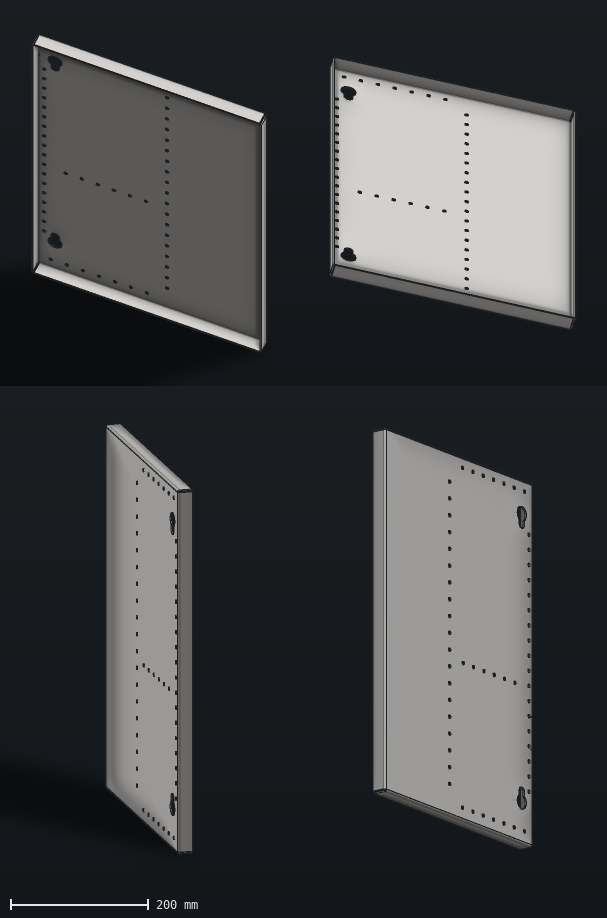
import cadquery as cq

WIDTH = 364.58
DEPTH = 22.3
HEIGHT = 550.13
THICKNESS = 2.4
INNER_BEND_RADIUS = 0.9
OUTER_BEND_RADIUS = THICKNESS + INNER_BEND_RADIUS
CORNER_CLEARANCE = 0.8
FLANGE_INSET = THICKNESS + CORNER_CLEARANCE

HOLE_DIAMETER = 5.0
PITCH = 25.4
EDGE_COLUMN_PITCH = 22.86
PATTERN_MID_Z = 1.3

END_ROW_COUNT = 7
END_ROW_START_X = -160.5
END_ROW_OFFSET_Z = 256.9

MIDDLE_ROW_COUNT = 6
MIDDLE_ROW_START_X = -136.8
MIDDLE_ROW_Z = -36.6

CENTRE_COLUMN_COUNT = 19
CENTRE_COLUMN_X = 23.6

EDGE_COLUMN_COUNT = 18
EDGE_COLUMN_X = -171.3

KEYHOLE_X = -153.8
KEYHOLE_MID_Z = 5.4
KEYHOLE_OFFSET_Z = 217.6
KEYHOLE_DIAMETER = 22.0
KEYHOLE_SLOT_WIDTH = 12.7
KEYHOLE_SLOT_REACH = 15.4


def folded_channel(span, length):
    """U-shaped channel with rounded bends: profile in XY, span along X, length centred along Z."""
    outer = (
        cq.Workplane("XY")
        .box(span, DEPTH, length)
        .edges("|Z and >Y")
        .fillet(OUTER_BEND_RADIUS)
    )
    inner = (
        cq.Workplane("XY")
        .box(span - 2 * THICKNESS, DEPTH, length)
        .edges("|Z and >Y")
        .fillet(INNER_BEND_RADIUS)
        .translate((0, -THICKNESS, 0))
    )
    return outer.cut(inner)


def folded_tray():
    """Panel with four flanges; each flange stops short of the corners, leaving them open."""
    side_flanges = folded_channel(WIDTH, HEIGHT - 2 * FLANGE_INSET)
    end_flanges = folded_channel(HEIGHT, WIDTH - 2 * FLANGE_INSET)
    end_flanges = end_flanges.rotate((0, 0, 0), (0, 1, 0), 90)
    return side_flanges.union(end_flanges)


def row(start_x, z, count):
    """Centres of a horizontal row of holes."""
    return [(start_x + i * PITCH, z) for i in range(count)]


def column(x, mid_z, pitch, count):
    """Centres of a vertical column of holes, spread evenly about mid_z."""
    return [(x, mid_z + (i - (count - 1) / 2) * pitch) for i in range(count)]


def through_panel(outline):
    """Extrude an XZ outline through the whole depth of the tray."""
    return outline.extrude(DEPTH, both=True)


def small_holes():
    """Cutters for every small hole of the rows and columns."""
    centres = (
        row(END_ROW_START_X, PATTERN_MID_Z + END_ROW_OFFSET_Z, END_ROW_COUNT)
        + row(END_ROW_START_X, PATTERN_MID_Z - END_ROW_OFFSET_Z, END_ROW_COUNT)
        + row(MIDDLE_ROW_START_X, MIDDLE_ROW_Z, MIDDLE_ROW_COUNT)
        + column(CENTRE_COLUMN_X, PATTERN_MID_Z, PITCH, CENTRE_COLUMN_COUNT)
        + column(EDGE_COLUMN_X, PATTERN_MID_Z, EDGE_COLUMN_PITCH, EDGE_COLUMN_COUNT)
    )
    return through_panel(cq.Workplane("XZ").pushPoints(centres).circle(HOLE_DIAMETER / 2))


def keyhole(end):
    """Cutter for the keyhole at the upper (end = 1) or lower (end = -1) part of the panel."""
    head_z = KEYHOLE_MID_Z + end * KEYHOLE_OFFSET_Z
    tip_z = head_z - end * KEYHOLE_SLOT_REACH
    plane = cq.Workplane("XZ")
    head = through_panel(plane.center(KEYHOLE_X, head_z).circle(KEYHOLE_DIAMETER / 2))
    tip = through_panel(plane.center(KEYHOLE_X, tip_z).circle(KEYHOLE_SLOT_WIDTH / 2))
    slot_mid_z = (head_z + tip_z) / 2
    slot = through_panel(
        plane.center(KEYHOLE_X, slot_mid_z).rect(KEYHOLE_SLOT_WIDTH, KEYHOLE_SLOT_REACH)
    )
    return head.union(tip).union(slot)


result = folded_tray().cut(small_holes())
for panel_end in (1, -1):
    result = result.cut(keyhole(panel_end))